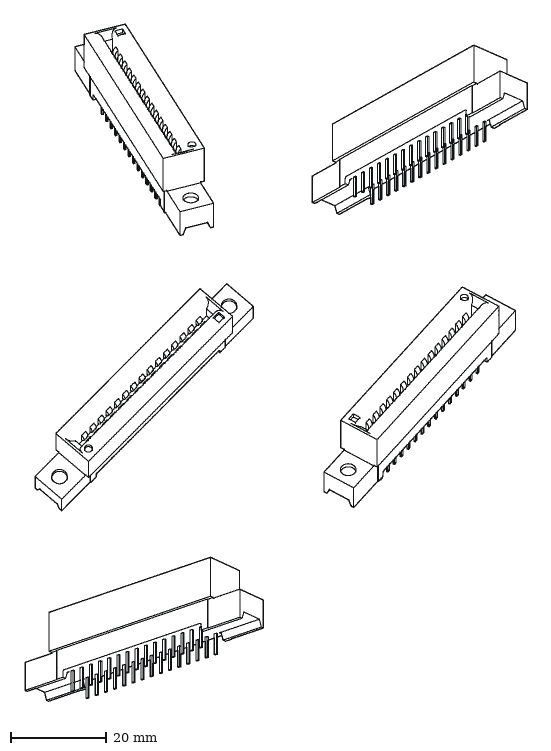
import cadquery as cq

TOTAL_LENGTH = 59.55
TOTAL_HEIGHT = 18.65

HOUSING_LENGTH = 44.8
HOUSING_WIDTH = 9.35
HOUSING_HEIGHT = 8.95

BODY_LENGTH = 41.95
BODY_WIDTH = 7.9
FLANGE_WIDTH = 7.6
FLANGE_DROP = 0.2
FLANGE_HEIGHT = 6.45
MOUNT_HOLE_DIAMETER = 3.3
MOUNT_HOLE_DEPTH = 1.0
MOUNT_HOLE_SPACING = 52.65

RECESS_DEPTH = 1.6
RECESS_TOP_WIDTH = 5.0
RECESS_BOTTOM_WIDTH = 6.2
NOTCH_LENGTH = 38.3
NOTCH_RADIUS = 0.4

SLOT_WIDTH = 1.9
SLOT_LENGTH = 40.75
SLOT_DEPTH = 5.35
LEAD_IN = 1.5

MARK_SIZE = 1.65
MARK_DEPTH = 1.0
MARK_X = 20.25
MARK_Y = 2.7

CONTACT_COUNT = 15
CONTACT_ROW_LENGTH = 35.55
CONTACT_WIDTH = 1.25
CONTACT_RADIUS = 1.6
CONTACT_GAP = 0.55
CONTACT_DEPTH = 3.4
PIN_WIDTH = 0.6
PIN_THICKNESS = 0.35
PIN_ROW_SPACING = 4.8

contact_pitch = CONTACT_ROW_LENGTH / (CONTACT_COUNT - 1)
housing_bottom = FLANGE_HEIGHT + FLANGE_DROP
top = housing_bottom + HOUSING_HEIGHT
pin_tip = top - TOTAL_HEIGHT


def block(length, width, bottom, height):
    """Box centred on X and Y, standing on the given level."""
    return cq.Workplane("XY").workplane(offset=bottom).rect(length, width).extrude(height)


def along_x(profile, length):
    """Extrude a YZ profile symmetrically along X."""
    return profile.extrude(length / 2, both=True)


def housing():
    flanges = block(TOTAL_LENGTH, FLANGE_WIDTH, 0, FLANGE_HEIGHT)
    bridge = block(HOUSING_LENGTH, FLANGE_WIDTH, 0, housing_bottom)
    body = block(BODY_LENGTH, BODY_WIDTH, 0, housing_bottom)
    shell = block(HOUSING_LENGTH, HOUSING_WIDTH, housing_bottom, HOUSING_HEIGHT)
    return flanges.union(bridge).union(body).union(shell)


def underside_recess():
    """Tapered channel running the full length between the feet."""
    half_top = RECESS_TOP_WIDTH / 2
    half_bottom = RECESS_BOTTOM_WIDTH / 2
    profile = cq.Workplane("YZ").polyline([
        (-half_bottom, 0),
        (-half_top, RECESS_DEPTH),
        (half_top, RECESS_DEPTH),
        (half_bottom, 0),
    ]).close()
    return along_x(profile, TOTAL_LENGTH)


def pin_notch():
    """Opening through both long sides above the pins, with rounded upper corners."""
    return block(NOTCH_LENGTH, BODY_WIDTH, 0, RECESS_DEPTH).edges("|Y and >Z").fillet(NOTCH_RADIUS)


def card_slot():
    """Slot flaring at the top: convex rounded long sides, sloped ends."""
    half = SLOT_WIDTH / 2
    floor = top - SLOT_DEPTH
    throat = top - LEAD_IN
    cross_section = (
        cq.Workplane("YZ")
        .moveTo(-half, floor)
        .lineTo(half, floor)
        .lineTo(half, throat)
        .radiusArc((half + LEAD_IN, top), LEAD_IN)
        .lineTo(-half - LEAD_IN, top)
        .radiusArc((-half, throat), LEAD_IN)
        .close()
    )
    half_length = SLOT_LENGTH / 2
    long_section = cq.Workplane("XZ").polyline([
        (-half_length, floor),
        (half_length, floor),
        (half_length, throat),
        (half_length + LEAD_IN, top),
        (-half_length - LEAD_IN, top),
        (-half_length, throat),
    ]).close()
    flare = along_x(cross_section, HOUSING_LENGTH)
    return flare.intersect(long_section.extrude(HOUSING_WIDTH / 2, both=True))


def top_marks():
    plane = cq.Workplane("XY").workplane(offset=top)
    square = plane.center(-MARK_X, MARK_Y).rect(MARK_SIZE, MARK_SIZE).extrude(-MARK_DEPTH)
    circle = plane.center(MARK_X, MARK_Y).circle(MARK_SIZE / 2).extrude(-MARK_DEPTH)
    return square.union(circle)


def mount_holes():
    return (
        cq.Workplane("XY")
        .workplane(offset=FLANGE_HEIGHT)
        .rarray(MOUNT_HOLE_SPACING, 0.6, 2, 1)
        .circle(MOUNT_HOLE_DIAMETER / 2)
        .extrude(-MOUNT_HOLE_DEPTH)
    )


def contact_bulge(x, side):
    """Round contact nose reaching from one slot wall towards the card."""
    y = side * (CONTACT_GAP / 2 + CONTACT_RADIUS)
    centre = (x, y, top - CONTACT_DEPTH)
    return along_x(cq.Workplane("YZ", origin=centre).circle(CONTACT_RADIUS), CONTACT_WIDTH)


def pins():
    return (
        cq.Workplane("XY")
        .workplane(offset=pin_tip)
        .rarray(contact_pitch, PIN_ROW_SPACING, CONTACT_COUNT, 2)
        .rect(PIN_WIDTH, PIN_THICKNESS)
        .extrude(housing_bottom - pin_tip)
    )


result = housing().cut(underside_recess()).cut(pin_notch())
result = result.cut(card_slot()).cut(top_marks()).cut(mount_holes()).union(pins())
for index in range(CONTACT_COUNT):
    contact_x = index * contact_pitch - CONTACT_ROW_LENGTH / 2
    for side in (-1, 1):
        result = result.union(contact_bulge(contact_x, side))